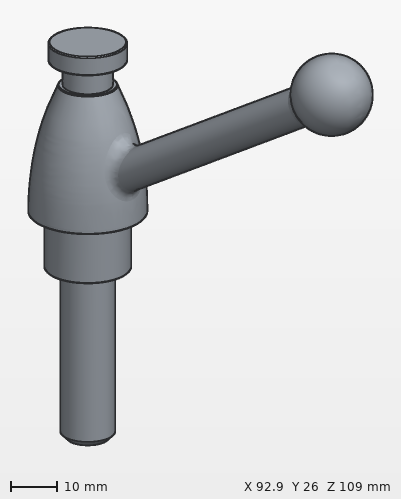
import cadquery as cq
import math

pin_diameter = 12.0
pin_length = 40.0
pin_chamfer = 1.5

sleeve_diameter = 19.0
sleeve_height = 13.0
sleeve_chamfer = 0.3

hub_base_diameter = 26.0
hub_top_diameter = 13.0
hub_top_chamfer = 0.2
hub_height = 30.0
hub_base_chamfer = 0.3
hub_band_height = 1.0

neck_diameter = 11.0
neck_height = 5.5
button_diameter = 17.2
button_height = 4.5
button_chamfer = 0.3

arm_diameter = 9.0
arm_angle = 30.0
ball_diameter = 18.0
overall_length = 92.92
overall_height = 109.0
hub_joint_fillet = 3.0
ball_joint_fillet = 3.0

sleeve_bottom = pin_length
hub_bottom = sleeve_bottom + sleeve_height
hub_top = hub_bottom + hub_height
button_bottom = hub_top + neck_height
ball_x = overall_length - hub_base_diameter / 2 - ball_diameter / 2
ball_z = overall_height - ball_diameter / 2
arm_slope = math.radians(arm_angle)
arm_start_z = ball_z - ball_x * math.tan(arm_slope)
arm_length = ball_x / math.cos(arm_slope)


def cylinder(diameter, bottom, height):
    return cq.Workplane("XY").workplane(offset=bottom).circle(diameter / 2).extrude(height)


def make_pin():
    return cylinder(pin_diameter, 0, pin_length).faces("<Z").chamfer(pin_chamfer)


def make_sleeve():
    return cylinder(sleeve_diameter, sleeve_bottom, sleeve_height).faces("<Z").chamfer(sleeve_chamfer)


def make_hub():
    """Revolve a profile whose side is an arc that is vertical at the band."""
    base_radius = hub_base_diameter / 2
    band_top = hub_bottom + hub_band_height
    return (
        cq.Workplane("XZ")
        .moveTo(0, hub_bottom)
        .lineTo(base_radius - hub_base_chamfer, hub_bottom)
        .lineTo(base_radius, hub_bottom + hub_base_chamfer)
        .lineTo(base_radius, band_top)
        .tangentArcPoint((hub_top_diameter / 2, hub_top - hub_top_chamfer), relative=False)
        .lineTo(hub_top_diameter / 2 - hub_top_chamfer, hub_top)
        .lineTo(0, hub_top)
        .close()
        .revolve(360, (0, 0, 0), (0, 1, 0))
    )


def make_button():
    neck = cylinder(neck_diameter, hub_top, neck_height)
    head = cylinder(button_diameter, button_bottom, button_height).edges().chamfer(button_chamfer)
    return neck.union(head)


def make_arm():
    """Make a straight rod from the hub axis to the ball centre."""
    direction = cq.Vector(math.cos(arm_slope), 0, math.sin(arm_slope))
    rod = cq.Solid.makeCylinder(arm_diameter / 2, arm_length, cq.Vector(0, 0, arm_start_z), direction)
    return cq.Workplane("XY").add(rod)


def make_ball():
    return cq.Workplane("XY").sphere(ball_diameter / 2).translate((ball_x, 0, ball_z))


def edges_between(low_x, high_x):
    """Select edges whose centres lie between two X positions."""
    return cq.selectors.BoxSelector((low_x, -overall_height, 0), (high_x, overall_height, overall_height))


def make_lever():
    """Join hub, arm and ball, then round both ends of the arm."""
    lever = make_hub().union(make_arm()).union(make_ball())
    hub_joint = edges_between(hub_top_diameter / 2, hub_base_diameter / 2 + hub_joint_fillet)
    lever = lever.edges(hub_joint).fillet(hub_joint_fillet)
    ball_joint = edges_between(ball_x - ball_diameter / 2, ball_x - arm_diameter / 2)
    return lever.edges(ball_joint).fillet(ball_joint_fillet)


result = make_pin().union(make_sleeve()).union(make_lever()).union(make_button())